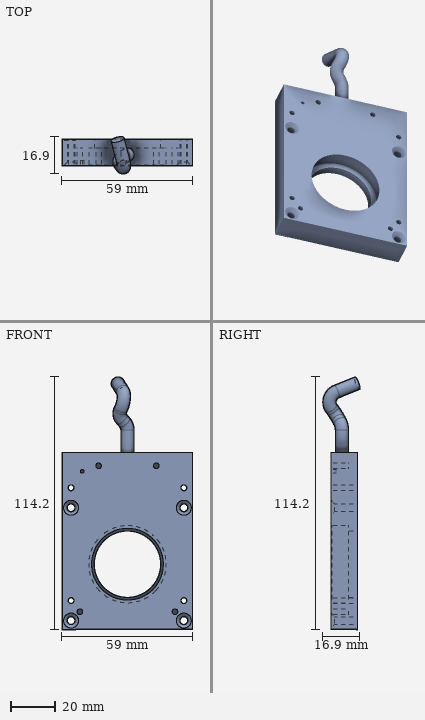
import cadquery as cq
import math

width = 59.0
height = 80.0
front_thickness = 8.0
rear_thickness = 4.0
thickness = front_thickness + rear_thickness

bore_z = width / 2
lip_dia = 32.5
lip_thickness = 0.5
undercut_dia = 35.0
rear_bore_dia = 29.9

hole_pitch = 51.0
screw_dia = 3.4
countersink_dia = 6.7
countersink_angle = 90.0
thread_dia = 2.5
thread_square_rise = 9.0

pin_dia = 2.5
lower_pin_pitch = 43.0
lower_pin_z = 8.0
upper_pin_pitch = 26.0
upper_pin_z = height - 6.0
marker_dia = 1.6
marker_x = -20.5
marker_z = 71.4
marker_depth = 2.3

tab_width = 6.0
tab_depth = 0.6
tab_drop = 0.15

cable_dia = 6.0
cable_y = -cable_dia / 2
bend_radius = 4.9
cable_corners = [
    cq.Vector(0, cable_y, height),
    cq.Vector(0, cable_y, 92.1),
    cq.Vector(-4.2, -5.6, 96.9),
    cq.Vector(-0.5, -11.5, 105.0),
    cq.Vector(-4.5, 3.9, 111.3),
]


def cylinder_y(dia, x, z, y_start, length):
    """Cylinder along +Y that starts at y_start."""
    return cq.Workplane(cq.Solid.makeCylinder(
        dia / 2, length, cq.Vector(x, y_start, z), cq.Vector(0, 1, 0)))


def square_points(center_z):
    """Corners (x, z) of a hole square centred on X = 0."""
    half = hole_pitch / 2
    return [(x, center_z + dz) for x in (-half, half) for dz in (-half, half)]


def make_housing():
    plates = cq.Workplane().box(width, thickness, height, centered=(True, False, False))
    plates = plates.translate((0, -front_thickness, 0))
    tab = cq.Workplane().box(tab_width, tab_depth, 2 * tab_drop, centered=False)
    tab = tab.translate((-width / 2, rear_thickness - tab_depth, -tab_drop))
    return plates.union(tab)


def make_bore():
    lip = cylinder_y(lip_dia, 0, bore_z, -front_thickness, lip_thickness)
    undercut = cylinder_y(undercut_dia, 0, bore_z,
                          lip_thickness - front_thickness, front_thickness - lip_thickness)
    rear = cylinder_y(rear_bore_dia, 0, bore_z, 0, rear_thickness)
    return lip.union(undercut).union(rear)


def make_countersunk_hole(x, z):
    depth = (countersink_dia - screw_dia) / 2 / math.tan(math.radians(countersink_angle / 2))
    cone = cq.Workplane(cq.Solid.makeCone(
        countersink_dia / 2, screw_dia / 2, depth,
        cq.Vector(x, -front_thickness, z), cq.Vector(0, 1, 0)))
    return cone.union(cylinder_y(screw_dia, x, z, -front_thickness, thickness))


def cut_holes(body):
    for x, z in square_points(bore_z):
        body = body.cut(make_countersunk_hole(x, z))
    for x, z in square_points(bore_z + thread_square_rise):
        body = body.cut(cylinder_y(thread_dia, x, z, -front_thickness, thickness))
    for pitch, z in ((lower_pin_pitch, lower_pin_z), (upper_pin_pitch, upper_pin_z)):
        for x in (-pitch / 2, pitch / 2):
            body = body.cut(cylinder_y(pin_dia, x, z, -front_thickness, front_thickness))
    return body.cut(cylinder_y(marker_dia, marker_x, marker_z, -front_thickness, marker_depth))


def rounded_path(corners, radius):
    """Wire through the corners, with a tangent arc at each inner corner."""
    edges = []
    start = corners[0]
    for before, corner, after in zip(corners, corners[1:], corners[2:]):
        back = (before - corner).normalized()
        ahead = (after - corner).normalized()
        half_angle = back.getAngle(ahead) / 2
        setback = radius / math.tan(half_angle)
        center_distance = radius / math.sin(half_angle)
        bisector = (back + ahead).normalized()
        arc_start = corner + back * setback
        arc_middle = corner + bisector * (center_distance - radius)
        arc_end = corner + ahead * setback
        edges.append(cq.Edge.makeLine(start, arc_start))
        edges.append(cq.Edge.makeThreePointArc(arc_start, arc_middle, arc_end))
        start = arc_end
    edges.append(cq.Edge.makeLine(start, corners[-1]))
    return cq.Wire.assembleEdges(edges)


def make_cable():
    path = rounded_path(cable_corners, bend_radius)
    profile = cq.Workplane("XY", origin=cable_corners[0].toTuple()).circle(cable_dia / 2)
    return profile.sweep(cq.Workplane(path))


housing = cut_holes(make_housing().cut(make_bore()))
result = housing.union(make_cable())